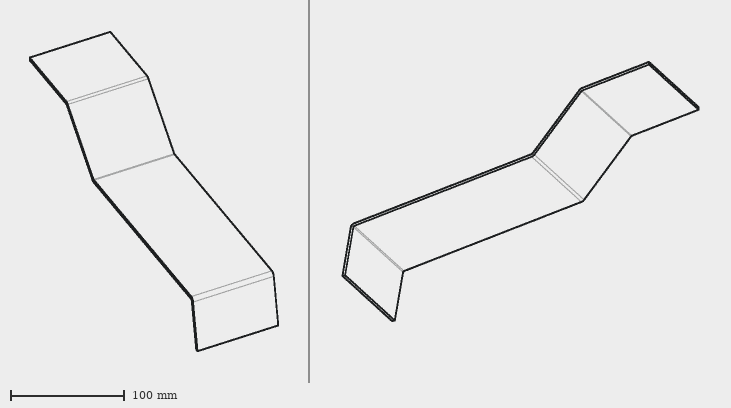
import cadquery as cq
import math

length = 322.2
width = 80.0
height = 104.0
thickness = 3.0

inner_radius = 1.0
outer_radius = inner_radius + thickness
slope_angle = 45.0
lip_angle = 80.0
step_drop = 51.0

lip_run = math.cos(math.radians(lip_angle))
lip_rise = math.sin(math.radians(lip_angle))


def bend_setback(radius, angle):
    """Distance from a sharp corner to the start of its bend."""
    return radius * math.tan(math.radians(angle) / 2)


upper_flat_corner = 72.0
lower_flat_corner = upper_flat_corner + step_drop / math.tan(math.radians(slope_angle))

lip_end_x = length
lip_end_z = -height + thickness * lip_run
lip_corner = lip_end_x - (-step_drop - lip_end_z) * lip_run / lip_rise

top_corners = [
    (0, 0),
    (upper_flat_corner, 0),
    (lower_flat_corner, -step_drop),
    (lip_corner, -step_drop),
    (lip_end_x, lip_end_z),
]

slope_offset = bend_setback(thickness, slope_angle)
lip_offset = bend_setback(thickness, lip_angle)
under_corners = [
    (lip_end_x - thickness * lip_rise, -height),
    (lip_corner - lip_offset, -step_drop - thickness),
    (lower_flat_corner - slope_offset, -step_drop - thickness),
    (upper_flat_corner - slope_offset, -thickness),
    (0, -thickness),
]

strip = (
    cq.Workplane("XZ")
    .polyline(top_corners + under_corners)
    .close()
    .extrude(width / 2, both=True)
)


def round_bend(body, corner, radius):
    """Round the crosswise edge passing through a profile corner."""
    x, z = corner
    edge = cq.selectors.NearestToPointSelector((x, 0, z))
    return body.edges("|Y").edges(edge).fillet(radius)


bends = [
    (top_corners[1], outer_radius),
    (under_corners[3], inner_radius),
    (top_corners[2], inner_radius),
    (under_corners[2], outer_radius),
    (top_corners[3], outer_radius),
    (under_corners[1], inner_radius),
]
for bend_corner, bend_radius in bends:
    strip = round_bend(strip, bend_corner, bend_radius)

result = strip